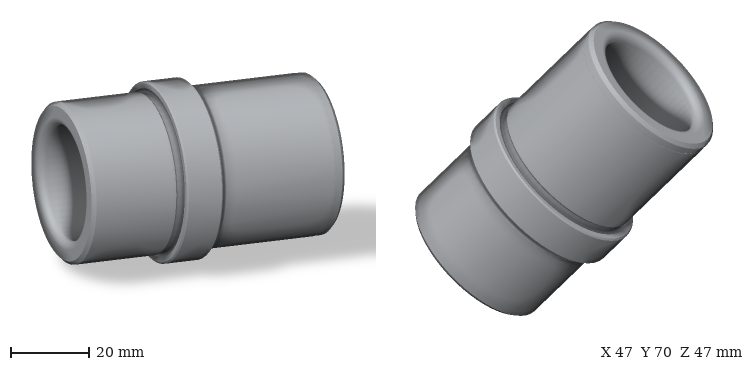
import cadquery as cq

length = 70.0
body_radius = 21.0
bore_radius = 15.0
bore_round = 2.0
end_chamfer = 1.0

land_length = 3.0
land_relief = 0.1

collar_diameter = 47.0
collar_radius = collar_diameter / 2
collar_offset = 25.05
collar_width = 10.0
collar_chamfer = 0.4

groove_radius = 20.5
groove_width = 2.0
groove_slope = 0.5
undercut_radius = 21.7
undercut_start = 0.15

front = -length / 2
rear = length / 2
collar_front_y = front + collar_offset
collar_rear_y = collar_front_y + collar_width
undercut_height = undercut_radius - groove_radius
undercut_round = (undercut_height**2 + undercut_start**2) / (2 * undercut_height)
undercut_middle_radius = groove_radius + undercut_round
undercut_depth = undercut_round - undercut_start
land_radius = body_radius - land_relief


def half_section():
    """Outline of the sleeve wall in (radius, Y), with a plain bore."""
    return (
        cq.Workplane("XY")
        .moveTo(bore_radius, front)
        .lineTo(body_radius - end_chamfer, front)
        .lineTo(body_radius, front + end_chamfer)
        .lineTo(body_radius, collar_front_y - groove_width)
        .lineTo(groove_radius, collar_front_y - groove_width + groove_slope)
        .lineTo(groove_radius, collar_front_y - undercut_start)
        .tangentArcPoint((undercut_radius, collar_front_y), relative=False)
        .lineTo(collar_radius - collar_chamfer, collar_front_y)
        .lineTo(collar_radius, collar_front_y + collar_chamfer)
        .lineTo(collar_radius, collar_rear_y - collar_chamfer)
        .lineTo(collar_radius - collar_chamfer, collar_rear_y)
        .lineTo(undercut_radius, collar_rear_y)
        .threePointArc(
            (undercut_middle_radius, collar_rear_y - undercut_depth),
            (groove_radius, collar_rear_y + undercut_start),
        )
        .lineTo(groove_radius, collar_rear_y + groove_width - groove_slope)
        .lineTo(body_radius, collar_rear_y + groove_width)
        .lineTo(body_radius, rear - land_length)
        .lineTo(land_radius, rear - land_length)
        .lineTo(land_radius, rear - end_chamfer)
        .lineTo(body_radius - end_chamfer, rear)
        .lineTo(bore_radius, rear)
        .close()
    )


sleeve = half_section().revolve(360, (0, 0, 0), (0, 1, 0))

bore_edges = cq.selectors.RadiusNthSelector(0)
result = sleeve.faces("<Y or >Y").edges(bore_edges).fillet(bore_round)